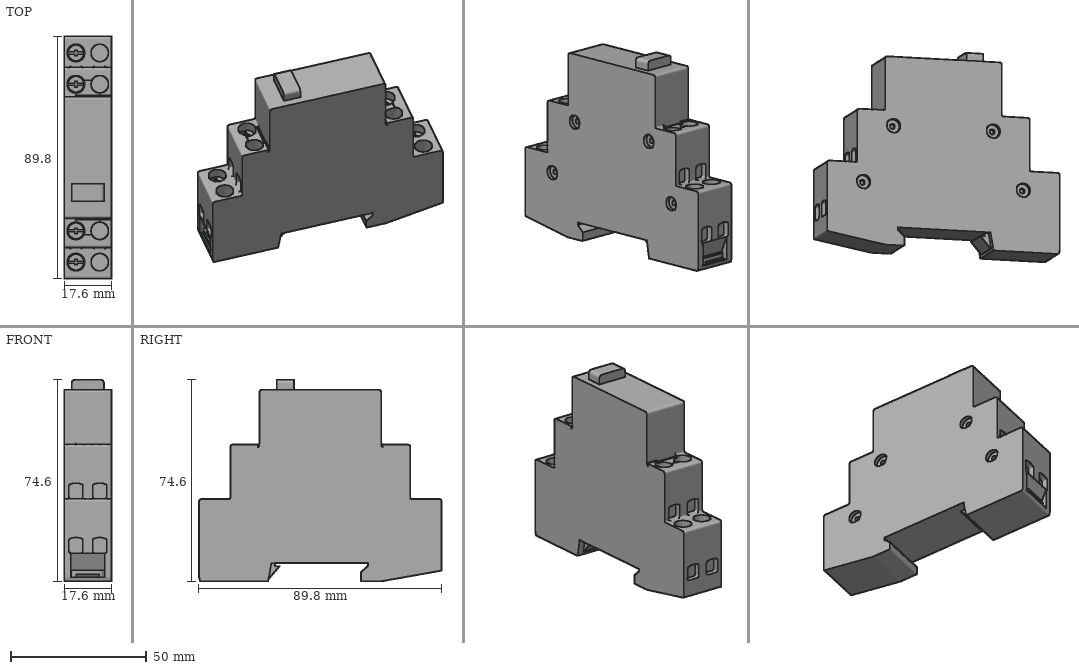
import cadquery as cq
import math

WIDTH = 17.6
LENGTH = 89.8
HEIGHT = 74.6

HALF_WIDTH = WIDTH / 2
HALF_LENGTH = LENGTH / 2

TOP_HALF = 22.5
MIDDLE_HALF = 33.3
TOP_Z = 70.9
STEP_RISE = 20.1
LOWER_STEP_Z = 30.5
UPPER_STEP_Z = LOWER_STEP_Z + STEP_RISE
EDGE_RADIUS = 1.0
CORNER_RADIUS = 0.5

RAIL_Z = 6.7
HOOK_Y = 15.0
HOOK_BEVEL_BOTTOM_Z = 3.4
HOOK_BEVEL_TOP_Z = 5.75
HOOK_ROOT_Y = 17.6
RAMP_START_Y = 22.6
RAMP_END_Z = 3.95
RAIL_WALL_TOP_Y = -18.1
RAIL_WALL_BOTTOM_Y = -19.3
TOE_HEIGHT = 1.6
TOE_SETBACK = 0.4
HOOK_RADIUS = 0.4
BOTTOM_RADIUS = 0.6

BUTTON_Y = -12.9
BUTTON_WIDTH = 12.0
BUTTON_LENGTH = 6.5
BUTTON_RADIUS = 1.3

TERMINAL_X = 4.4
UPPER_TERMINAL_Y = 27.1
LOWER_TERMINAL_Y = 38.7
BORE_DIAMETER = 6.5
SCREW_DEPTH = 3.4
SCREW_DIAMETER = 5.9
SCREW_GAP_DEPTH = 0.9
PLAIN_BORE_DEPTH = 10.8
SLOT_WIDTH = 0.8
SLOT_DEPTH = 0.7
CROSS_WIDTH = 1.0
CROSS_LENGTH = 2.1

WINDOW_WIDTH = 5.2
WINDOW_HEIGHT = 5.8
WINDOW_DEPTH = 2.25
WINDOW_CROWN = 0.6
WINDOW_RADIUS = 0.8

RECESS_END_Y = 28.6
RECESS_DEPTH = 0.6
GROOVE_DEPTH = 1.1

UPPER_RIVET_Y = 19.2
UPPER_RIVET_Z = 44.9
LOWER_RIVET_Y = 30.8
LOWER_RIVET_Z = 23.3
RIVET_DIAMETER = 5.2
RIVET_DEPTH = 1.5
RIVET_PIN_DIAMETER = 1.9
RIVET_PIN_DEPTH = 1.5

POCKET_WIDTH = 12.5
POCKET_DEPTH = 2.7
SLIDER_TOP_Z = 4.1
SLIDER_INSET = 0.8
SLIDER_CORNER_RADIUS = 2.25
SLIDER_SLOT_WIDTH = 7.4
SLIDER_SLOT_DEPTH = 0.3
SLIDER_RIM = 0.9
LIP_WIDTH = 8.6
LIP_TOP_Z = 2.6
LIP_REACH = 0.8
CATCH_TIP_Y = -15.0
CATCH_TIP_Z = 5.7
CATCH_NECK_Y = -16.7
CATCH_FOOT_Y = -18.95
CATCH_FOOT_Z = 1.1
CATCH_BURIED_LENGTH = 0.5


def extrude_across(points, width):
    """Extrude a (Y, Z) outline along X, centred on the part."""
    return cq.Workplane("YZ").polyline(points).close().extrude(width / 2, both=True)


def fillet_lines(body, places, radius):
    """Round the full-width edges that run along X through the given (Y, Z) places."""
    for y, z in places:
        body = body.edges(cq.selectors.NearestToPointSelector((0, y, z))).fillet(radius)
    return body


def both_sides(y, z):
    return [(y, z), (-y, z)]


def make_housing():
    outline = [
        (-HALF_LENGTH + TOE_SETBACK, 0),
        (-HALF_LENGTH, TOE_HEIGHT),
        (-HALF_LENGTH, LOWER_STEP_Z),
        (-MIDDLE_HALF, LOWER_STEP_Z),
        (-MIDDLE_HALF, UPPER_STEP_Z),
        (-TOP_HALF, UPPER_STEP_Z),
        (-TOP_HALF, TOP_Z),
        (TOP_HALF, TOP_Z),
        (TOP_HALF, UPPER_STEP_Z),
        (MIDDLE_HALF, UPPER_STEP_Z),
        (MIDDLE_HALF, LOWER_STEP_Z),
        (HALF_LENGTH, LOWER_STEP_Z),
        (HALF_LENGTH, RAMP_END_Z),
        (RAMP_START_Y, 0),
        (HOOK_Y, 0),
        (HOOK_Y, HOOK_BEVEL_BOTTOM_Z),
        (HOOK_ROOT_Y, HOOK_BEVEL_TOP_Z),
        (HOOK_ROOT_Y, RAIL_Z),
        (RAIL_WALL_TOP_Y, RAIL_Z),
        (RAIL_WALL_BOTTOM_Y, 0),
    ]
    housing = extrude_across(outline, WIDTH)
    outer_edges = (
        both_sides(HALF_LENGTH, LOWER_STEP_Z)
        + both_sides(MIDDLE_HALF, UPPER_STEP_Z)
        + both_sides(TOP_HALF, TOP_Z)
    )
    inner_edges = both_sides(MIDDLE_HALF, LOWER_STEP_Z) + both_sides(TOP_HALF, UPPER_STEP_Z)
    bottom_edges = [(-HALF_LENGTH + TOE_SETBACK, 0), (HALF_LENGTH, RAMP_END_Z)]
    housing = fillet_lines(housing, outer_edges, EDGE_RADIUS)
    housing = fillet_lines(housing, inner_edges, CORNER_RADIUS)
    housing = fillet_lines(housing, bottom_edges, BOTTOM_RADIUS)
    return fillet_lines(housing, [(HOOK_Y, 0)], HOOK_RADIUS)


def make_button():
    button_height = HEIGHT - TOP_Z
    return (
        cq.Workplane("XY", origin=(0, BUTTON_Y, TOP_Z - EDGE_RADIUS))
        .box(BUTTON_WIDTH, BUTTON_LENGTH, button_height + EDGE_RADIUS, centered=(True, True, False))
        .faces(">Z")
        .edges("|Y")
        .fillet(BUTTON_RADIUS)
    )


def bore(x, y, top_z, diameter, depth):
    return cq.Workplane("XY", origin=(x, y, top_z)).circle(diameter / 2).extrude(-depth)


def screw_bore(y, top_z):
    """Bore that leaves a slotted screw head standing at its bottom."""
    head_z = top_z - SCREW_DEPTH
    well = bore(-TERMINAL_X, y, top_z, BORE_DIAMETER, SCREW_DEPTH)
    gap = bore(-TERMINAL_X, y, head_z, BORE_DIAMETER, SCREW_GAP_DEPTH).cut(
        bore(-TERMINAL_X, y, head_z, SCREW_DIAMETER, SCREW_GAP_DEPTH)
    )
    head_plane = cq.Workplane("XY", origin=(-TERMINAL_X, y, head_z))
    slot = head_plane.rect(SCREW_DIAMETER, SLOT_WIDTH).extrude(-SLOT_DEPTH)
    cross = head_plane.rect(CROSS_WIDTH, CROSS_LENGTH).extrude(-SLOT_DEPTH)
    return well.union(gap).union(slot).union(cross)


def wire_window(x, wall_y, bottom_z):
    """Arched window cut inwards from the riser at wall_y, clearing the fillet at its foot."""
    outward = math.copysign(1, wall_y)
    mouth_y = wall_y + outward * CORNER_RADIUS
    side_top = WINDOW_HEIGHT - WINDOW_CROWN
    return (
        cq.Workplane("XZ", origin=(x, mouth_y, bottom_z))
        .moveTo(-WINDOW_WIDTH / 2, 0)
        .lineTo(WINDOW_WIDTH / 2, 0)
        .lineTo(WINDOW_WIDTH / 2, side_top)
        .threePointArc((0, WINDOW_HEIGHT), (-WINDOW_WIDTH / 2, side_top))
        .close()
        .extrude(outward * (WINDOW_DEPTH + CORNER_RADIUS))
        .edges("|Y")
        .fillet(WINDOW_RADIUS)
    )


def step_recess(side):
    """Recess between the bores, with a groove along the riser that removes its foot fillet."""
    wall_y = side * TOP_HALF
    toe_y = side * (TOP_HALF + CORNER_RADIUS)
    fillet_top_z = UPPER_STEP_Z + CORNER_RADIUS
    groove_outline = [
        (wall_y, fillet_top_z),
        (toe_y, fillet_top_z),
        (toe_y, UPPER_STEP_Z - GROOVE_DEPTH),
        (wall_y, UPPER_STEP_Z),
    ]
    groove = (
        cq.Workplane("YZ", origin=(-TERMINAL_X, 0, 0))
        .polyline(groove_outline)
        .close()
        .extrude(TERMINAL_X + HALF_WIDTH)
    )
    recess_length = RECESS_END_Y - TOP_HALF
    recess = cq.Workplane("XY").box(
        2 * TERMINAL_X, recess_length, RECESS_DEPTH, centered=(True, True, False)
    ).translate((0, side * (TOP_HALF + recess_length / 2), UPPER_STEP_Z - RECESS_DEPTH))
    return groove.union(recess)


def rivet_seat(y, z):
    side_plane = cq.Workplane("YZ", origin=(-HALF_WIDTH, y, z))
    seat = side_plane.circle(RIVET_DIAMETER / 2).extrude(RIVET_DEPTH)
    return seat.union(side_plane.circle(RIVET_PIN_DIAMETER / 2).extrude(RIVET_DEPTH + RIVET_PIN_DEPTH))


def latch_pocket():
    """Pocket with a sloping ceiling that closes down onto the slider."""
    inner_y = -HALF_LENGTH + POCKET_DEPTH
    pocket_top = LOWER_STEP_Z - STEP_RISE
    outline = [
        (-HALF_LENGTH, TOE_HEIGHT),
        (inner_y, TOE_HEIGHT),
        (inner_y, SLIDER_TOP_Z),
        (-HALF_LENGTH, pocket_top),
    ]
    return extrude_across(outline, POCKET_WIDTH)


def make_slider():
    """Latch slider with rounded front corners and a finger lip undercut below."""
    front_y = -HALF_LENGTH + SLIDER_INSET
    slider_length = POCKET_DEPTH - SLIDER_INSET
    root_y = front_y + slider_length
    buried_length = SLIDER_CORNER_RADIUS
    slider = (
        cq.Workplane("XY", origin=(0, front_y, TOE_HEIGHT))
        .box(
            POCKET_WIDTH,
            slider_length + buried_length,
            SLIDER_TOP_Z - TOE_HEIGHT,
            centered=(True, False, False),
        )
        .edges("|Z and <Y")
        .fillet(SLIDER_CORNER_RADIUS)
    )
    lip_outline = [
        (root_y, TOE_HEIGHT),
        (front_y, TOE_HEIGHT),
        (front_y - LIP_REACH, LIP_TOP_Z),
        (root_y, LIP_TOP_Z),
    ]
    slot = cq.Workplane("XY", origin=(0, front_y + SLIDER_RIM, SLIDER_TOP_Z - SLIDER_SLOT_DEPTH)).box(
        SLIDER_SLOT_WIDTH,
        slider_length - SLIDER_RIM,
        SLIDER_SLOT_DEPTH,
        centered=(True, False, False),
    )
    return slider.cut(slot).union(extrude_across(lip_outline, LIP_WIDTH))


def make_catch():
    """Wedge-shaped catch that reaches under the rail."""
    root_y = RAIL_WALL_BOTTOM_Y - CATCH_BURIED_LENGTH
    outline = [
        (CATCH_TIP_Y, CATCH_TIP_Z),
        (CATCH_NECK_Y, CATCH_TIP_Z),
        (CATCH_NECK_Y, RAIL_Z),
        (root_y, RAIL_Z),
        (root_y, CATCH_FOOT_Z),
        (CATCH_FOOT_Y, CATCH_FOOT_Z),
    ]
    return extrude_across(outline, POCKET_WIDTH)


result = make_housing().union(make_button()).union(make_catch())

for side in (-1, 1):
    terminals = (
        (LOWER_TERMINAL_Y, LOWER_STEP_Z, HALF_LENGTH),
        (UPPER_TERMINAL_Y, UPPER_STEP_Z, MIDDLE_HALF),
    )
    for terminal_y, step_z, riser_y in terminals:
        result = result.cut(screw_bore(side * terminal_y, step_z))
        result = result.cut(bore(TERMINAL_X, side * terminal_y, step_z, BORE_DIAMETER, PLAIN_BORE_DEPTH))
        for window_x in (-TERMINAL_X, TERMINAL_X):
            result = result.cut(wire_window(window_x, side * riser_y, step_z - STEP_RISE))
    result = result.cut(step_recess(side))
    result = result.cut(rivet_seat(side * UPPER_RIVET_Y, UPPER_RIVET_Z))
    result = result.cut(rivet_seat(side * LOWER_RIVET_Y, LOWER_RIVET_Z))

result = result.cut(latch_pocket()).union(make_slider())